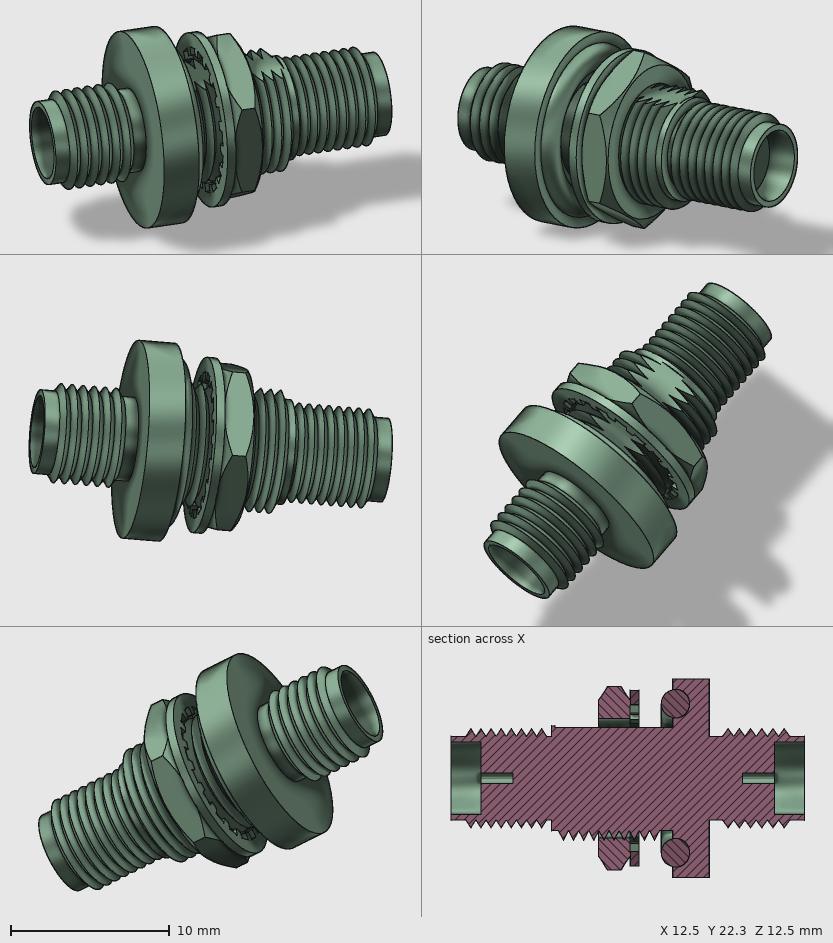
import cadquery as cq
import math


length = 22.28
barrel_radius = 2.65
flange_radius = 6.25
flange_front = 6.0
flange_back = 8.3
shoulder_radius = 3.32
shoulder_end = 15.95

coupling_crest_radius = 3.15
front_thread_start = 0.94
front_pitch = 0.706
front_rings = 6
panel_crest_radius = 3.95
panel_thread_start = 9.13
rear_pitch = 0.637
panel_rings = 10
rear_thread_start = 16.25
rear_rings = 8

flat_height = 3.2
flat_end = 15.7

socket_radius = 2.27
socket_depth = 1.9
contact_radius = 0.31
contact_depth = 2.0

o_ring_radius = 4.7
o_ring_cord_radius = 0.9
o_ring_sink = 0.15
o_ring_center = flange_back - o_ring_sink

washer_front = 10.43
washer_thickness = 0.55
washer_radius = 5.55
tooth_tip_radius = 4.12
notch_radius = 4.61
notch_count = 18
notch_width = 0.91

nut_front = washer_front + washer_thickness
nut_thickness = 2.0
nut_across_flats = 10.03
nut_face_radius = 4.92
nut_chamfer_height = 0.58
nut_bore_radius = 3.75


def disc(radius, start, end):
    """Cylinder about the Y axis from y = start to y = end."""
    return cq.Workplane("XZ", origin=(0, start, 0)).circle(radius).extrude(start - end)


def thread_rings(root_radius, crest_radius, start, pitch, count):
    """Outline points (radius, y) of a row of V-shaped thread rings."""
    points = [(root_radius, start)]
    for ring in range(count):
        ring_start = start + ring * pitch
        points.append((crest_radius, ring_start + pitch / 2))
        points.append((root_radius, ring_start + pitch))
    return points


def make_housing():
    """Revolved body with its flat, O-ring groove and two sockets."""
    outline = [(0, 0), (barrel_radius, 0)]
    outline += thread_rings(
        barrel_radius, coupling_crest_radius, front_thread_start, front_pitch, front_rings
    )
    outline += [
        (barrel_radius, flange_front),
        (flange_radius, flange_front),
        (flange_radius, flange_back),
        (shoulder_radius, flange_back),
    ]
    outline += thread_rings(
        shoulder_radius, panel_crest_radius, panel_thread_start, rear_pitch, panel_rings
    )
    outline += [(shoulder_radius, shoulder_end), (barrel_radius, shoulder_end)]
    outline += thread_rings(
        barrel_radius, coupling_crest_radius, rear_thread_start, rear_pitch, rear_rings
    )
    outline += [(barrel_radius, length), (0, length)]
    housing = cq.Workplane("XY").polyline(outline).close().revolve(360, (0, 0, 0), (0, 1, 0))

    flat_cut = (
        cq.Workplane("XY")
        .box(2 * panel_crest_radius, flat_end - flange_back, panel_crest_radius, centered=(True, False, False))
        .translate((0, flange_back, flat_height))
    )
    housing = housing.cut(flat_cut)
    housing = housing.cut(make_o_ring())

    contact_bottom = socket_depth + contact_depth
    housing = housing.cut(disc(socket_radius, 0, socket_depth))
    housing = housing.cut(disc(contact_radius, socket_depth, contact_bottom))
    housing = housing.cut(disc(socket_radius, length - socket_depth, length))
    housing = housing.cut(disc(contact_radius, length - contact_bottom, length - socket_depth))
    return housing


def make_o_ring():
    """Round-section ring; also the shape of its groove in the flange."""
    section = cq.Workplane("XY").moveTo(o_ring_radius, o_ring_center).circle(o_ring_cord_radius)
    return section.revolve(360, (0, 0, 0), (0, 1, 0))


def make_washer():
    """Flat ring with square notches between its inner teeth."""
    washer_back = washer_front + washer_thickness
    washer = disc(washer_radius, washer_front, washer_back)
    washer = washer.cut(disc(tooth_tip_radius, washer_front, washer_back))
    notch = (
        cq.Workplane("XY")
        .box(notch_width, washer_thickness, notch_radius, centered=(True, False, False))
        .translate((0, washer_front, 0))
    )
    for index in range(notch_count):
        angle = index * 360 / notch_count
        washer = washer.cut(notch.rotate((0, 0, 0), (0, 1, 0), angle))
    return washer


def make_nut(housing):
    """Chamfered hexagon whose bore is shaped by the housing thread."""
    nut_back = nut_front + nut_thickness
    corner_radius = nut_across_flats / 2 / math.cos(math.pi / 6)
    hexagon = (
        cq.Workplane("XZ", origin=(0, nut_front, 0))
        .transformed(rotate=(0, 0, 90))
        .polygon(6, 2 * corner_radius)
        .extrude(-nut_thickness)
    )
    chamfer_envelope = (
        cq.Workplane("XY")
        .polyline([
            (0, nut_front),
            (nut_face_radius, nut_front),
            (corner_radius, nut_front + nut_chamfer_height),
            (corner_radius, nut_back - nut_chamfer_height),
            (nut_face_radius, nut_back),
            (0, nut_back),
        ])
        .close()
        .revolve(360, (0, 0, 0), (0, 1, 0))
    )
    nut = hexagon.intersect(chamfer_envelope)
    nut = nut.cut(disc(nut_bore_radius, nut_front, nut_back))
    return nut.cut(housing)


housing = make_housing()
o_ring = make_o_ring()
washer = make_washer()
nut = make_nut(housing)

result = cq.Compound.makeCompound([housing.val(), o_ring.val(), washer.val(), nut.val()])